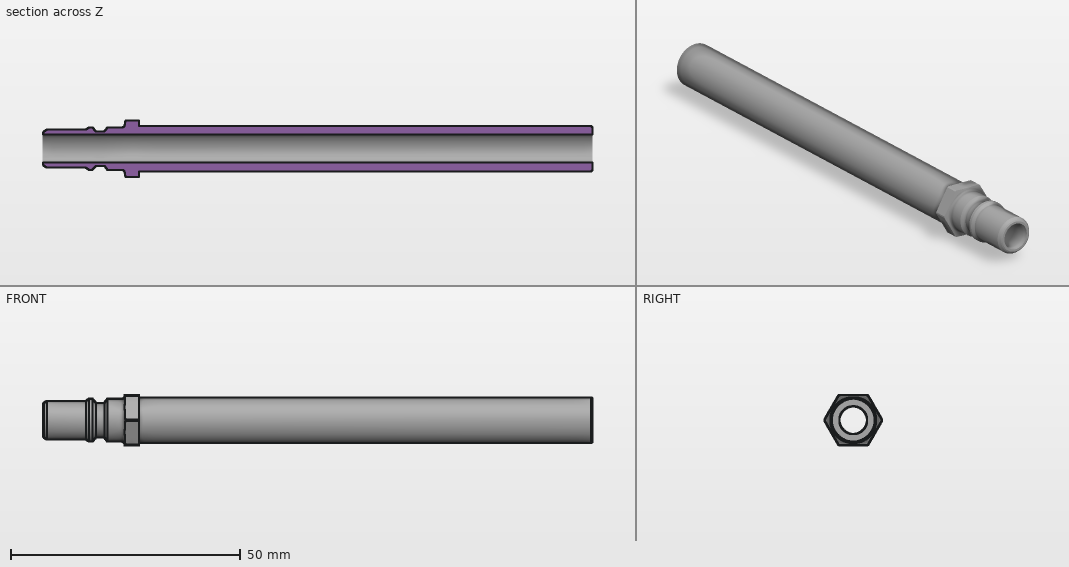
import cadquery as cq
import math

total_length = 120.0
bore_diameter = 6.0

nose_diameter = 8.45
tip_face_diameter = 7.0
tip_bevel_diameter = 7.6
tip_bevel_length = 0.2
lead_in_end = 0.85
nose_end = 9.4

ring_diameter = 9.4
ring_start = 10.1
ring_end = 10.8
neck_diameter = 7.6
neck_start = 11.6
neck_end = 13.4

hex_across_flats = 11.0
hex_corner_diameter = 12.5
hex_start = 17.8
hex_end = 21.0
hex_face_slope = 10.0
hex_turn = 30.0

collar_diameter = 9.4
collar_start = 14.1
root_fillet = 0.5
root_diameter = collar_diameter + 2 * root_fillet

tube_diameter = 10.0
tube_end_chamfer = 0.3


def turned_body():
    """Solid of revolution about X, from the nose tip to the tube end."""
    nose_r = nose_diameter / 2
    ring_r = ring_diameter / 2
    neck_r = neck_diameter / 2
    collar_r = collar_diameter / 2
    root_r = root_diameter / 2
    tube_r = tube_diameter / 2

    fillet_x = hex_start - root_fillet
    half_reach = root_fillet * math.sqrt(0.5)
    fillet_middle = (fillet_x + half_reach, root_r - half_reach)

    profile = (
        cq.Workplane("XY")
        .lineTo(0, tip_face_diameter / 2)
        .lineTo(tip_bevel_length, tip_bevel_diameter / 2)
        .lineTo(lead_in_end, nose_r)
        .lineTo(nose_end, nose_r)
        .lineTo(ring_start, ring_r)
        .lineTo(ring_end, ring_r)
        .lineTo(neck_start, neck_r)
        .lineTo(neck_end, neck_r)
        .lineTo(collar_start, collar_r)
        .lineTo(fillet_x, collar_r)
        .threePointArc(fillet_middle, (hex_start, root_r))
        .lineTo(hex_end, root_r)
        .lineTo(hex_end, tube_r)
        .lineTo(total_length - tube_end_chamfer, tube_r)
        .lineTo(total_length, tube_r - tube_end_chamfer)
        .lineTo(total_length, 0)
        .close()
    )
    return profile.revolve(360, (0, 0, 0), (1, 0, 0))


def hexagon():
    """Hexagon with flats facing +Z and -Z, its corners turned round and its face coned."""
    prism = (
        cq.Workplane("YZ")
        .workplane(offset=hex_start)
        .polygon(6, hex_across_flats, circumscribed=True)
        .extrude(hex_end - hex_start)
        .rotate((0, 0, 0), (1, 0, 0), hex_turn)
    )
    corner_r = hex_corner_diameter / 2
    face_r = root_diameter / 2
    face_setback = (corner_r - face_r) * math.tan(math.radians(hex_face_slope))
    turned_limit = (
        cq.Workplane("XY")
        .moveTo(hex_start, 0)
        .lineTo(hex_start, face_r)
        .lineTo(hex_start + face_setback, corner_r)
        .lineTo(hex_end, corner_r)
        .lineTo(hex_end, 0)
        .close()
        .revolve(360, (0, 0, 0), (1, 0, 0))
    )
    return prism.intersect(turned_limit)


def bore():
    """Straight hole through the whole length."""
    return cq.Workplane("YZ").circle(bore_diameter / 2).extrude(total_length)


result = turned_body().union(hexagon()).cut(bore())